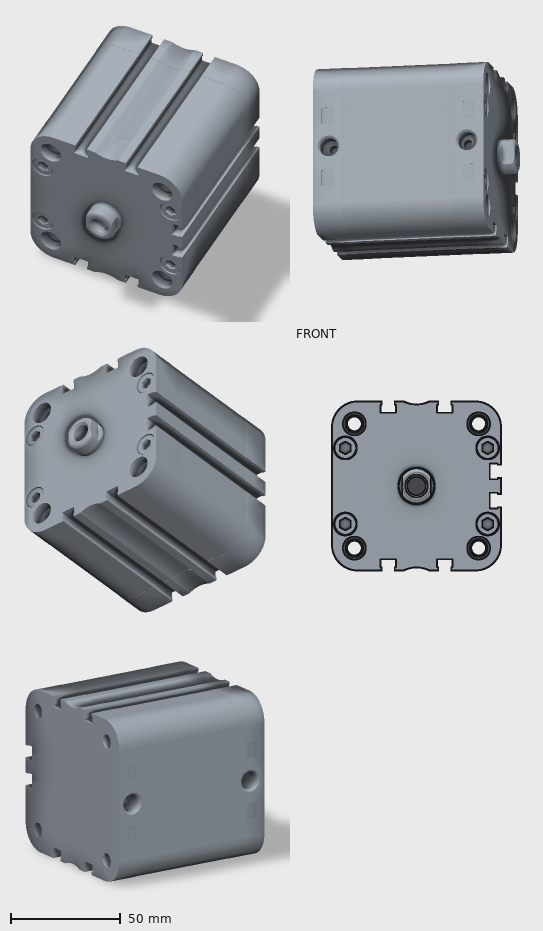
import cadquery as cq
import math


side = 77.0
half = side / 2
body_length = 79.2
corner_radius = 11.8

front_cover_length = 14.0
rear_cover_length = 13.6
barrel_inset = 0.1

slot_opening = 5.9
slot_width = 7.0
slot_depth = 5.1
slot_lip = 1.6
top_slot_offset = 12.85
side_slot_offset = 6.63

groove_width = 11.8
groove_depth = 1.4

mount_offset = 56.5 / 2
mount_bore_diameter = 10.5
mount_bore_depth = 5.0
mount_thread_diameter = 8.05
mount_hole_diameter = 6.65

screw_x = 32.35
screw_z = 17.3
screw_bore_diameter = 10.5
screw_bore_depth = 6.0
screw_head_diameter = 9.8
screw_head_sink = 0.5
socket_flats = 5.0
socket_depth = 3.0

port_front_y = 7.75
port_rear_y = body_length - 7.25
port_diameter = 8.57
port_mouth_diameter = 10.3
port_depth = 8.0
passage_diameter = 4.0
passage_length = 5.0
passage_shift = 0.95

label_front_y = 6.9
label_rear_y = body_length - 6.75
label_length = 5.25
label_height = 7.3
label_z = 14.5
label_depth = 0.2

rod_diameter = 16.0
rod_length = 7.8
rod_fillet = 1.8
rod_flats = 13.0
flat_gap = 2.4
rod_thread_mouth = 10.3
rod_thread_diameter = 8.38
rod_thread_depth = 20.0
rod_seal_diameter = 16.7
rod_seal_depth = 2.0


def cylinder(start, direction, diameter, length):
    """Round bar that starts at a point and runs along a direction."""
    return cq.Workplane(obj=cq.Solid.makeCylinder(
        diameter / 2, length, cq.Vector(*start), cq.Vector(*direction)))


def countersink(start, direction, mouth, diameter):
    """45 degree cone that narrows from the mouth to the hole diameter."""
    return cq.Workplane(obj=cq.Solid.makeCone(
        mouth / 2, diameter / 2, (mouth - diameter) / 2, cq.Vector(*start), cq.Vector(*direction)))


def box(x_range, y_range, z_range):
    """Box given by its extents along the three axes."""
    sizes = [high - low for low, high in (x_range, y_range, z_range)]
    corner = (x_range[0], y_range[0], z_range[0])
    return cq.Workplane(obj=cq.Solid.makeBox(*sizes, cq.Vector(*corner)))


def turned(shape, angle):
    """The shape turned about the cylinder axis."""
    return shape.rotate((0, 0, 0), (0, 1, 0), angle)


def rounded_block(half_side, radius, y_start, y_end):
    """Square block with rounded long edges and the round grooves in its top and bottom."""
    block = box((-half_side, half_side), (y_start, y_end), (-half_side, half_side))
    block = block.edges("|Y").fillet(radius)
    groove_radius = ((groove_width / 2) ** 2 + groove_depth ** 2) / (2 * groove_depth)
    groove_centre = (0, y_start, half_side - groove_depth + groove_radius)
    groove = cylinder(groove_centre, (0, 1, 0), 2 * groove_radius, y_end - y_start)
    return block.cut(groove).cut(turned(groove, 180))


def body_block():
    """Front cover, barrel and rear cover joined end to end."""
    barrel_start = front_cover_length
    barrel_end = body_length - rear_cover_length
    front_cover = rounded_block(half, corner_radius, 0, barrel_start)
    barrel = rounded_block(half - barrel_inset, corner_radius - barrel_inset, barrel_start, barrel_end)
    rear_cover = rounded_block(half, corner_radius, barrel_end, body_length)
    return front_cover.union(barrel).union(rear_cover)


def top_slot(x):
    """T-slot open at the top of the body, centred at x."""
    neck = box((x - slot_opening / 2, x + slot_opening / 2), (0, body_length), (half - slot_depth, half))
    chamber = box(
        (x - slot_width / 2, x + slot_width / 2), (0, body_length), (half - slot_depth, half - slot_lip))
    return neck.union(chamber)


def cut_slots(body):
    """Pairs of T-slots in the top, bottom and right side."""
    for angle in (0, 180):
        for x in (-top_slot_offset, top_slot_offset):
            body = body.cut(turned(top_slot(x), angle))
    for z in (-side_slot_offset, side_slot_offset):
        body = body.cut(turned(top_slot(z), 90))
    return body


def cut_mounting_holes(body):
    """Through holes in the corners with a counterbore and a countersunk thread."""
    for x in (-mount_offset, mount_offset):
        for z in (-mount_offset, mount_offset):
            bore_floor = (x, mount_bore_depth, z)
            body = body.cut(cylinder((x, 0, z), (0, 1, 0), mount_bore_diameter, mount_bore_depth))
            body = body.cut(countersink(bore_floor, (0, 1, 0), mount_thread_diameter, mount_hole_diameter))
            body = body.cut(cylinder((x, 0, z), (0, 1, 0), mount_hole_diameter, body_length))
    return body


def cut_screws(body):
    """Ring gap, sunk head and hexagon socket of each cover screw."""
    hexagon_diameter = socket_flats / math.cos(math.pi / 6)
    for x in (-screw_x, screw_x):
        for z in (-screw_z, screw_z):
            bore = cylinder((x, 0, z), (0, 1, 0), screw_bore_diameter, screw_bore_depth)
            head = cylinder((x, screw_head_sink, z), (0, 1, 0), screw_head_diameter, screw_bore_depth)
            socket = (
                cq.Workplane("XZ", origin=(x, screw_head_sink, z))
                .transformed(rotate=(0, 0, 90))
                .polygon(6, hexagon_diameter)
                .extrude(-socket_depth)
            )
            body = body.cut(bore.cut(head)).cut(socket)
    return body


def cut_port(body, y, passage_y):
    """Threaded port in the left side with a small air passage in its floor."""
    mouth = (-half, y, 0)
    body = body.cut(cylinder(mouth, (1, 0, 0), port_diameter, port_depth))
    body = body.cut(countersink(mouth, (1, 0, 0), port_mouth_diameter, port_diameter))
    floor = (-half + port_depth, passage_y, 0)
    return body.cut(cylinder(floor, (1, 0, 0), passage_diameter, passage_length))


def cut_labels(body):
    """Shallow rectangular recesses in the left side."""
    for y in (label_front_y, label_rear_y):
        for z in (-label_z, label_z):
            body = body.cut(box(
                (-half, -half + label_depth),
                (y - label_length / 2, y + label_length / 2),
                (z - label_height / 2, z + label_height / 2)))
    return body


def add_rod(body):
    """Rod end with two wrench flats and a threaded hole, in a narrow seal gap."""
    rod_radius = rod_diameter / 2
    flat = rod_flats / 2
    flat_start = -flat_gap
    ramp_end = flat_start + rod_radius - flat
    seal_gap = cylinder((0, 0, 0), (0, 1, 0), rod_seal_diameter, rod_seal_depth)
    rod = cylinder((0, rod_seal_depth, 0), (0, -1, 0), rod_diameter, rod_length + rod_seal_depth)
    rod = rod.faces("<Y").edges().fillet(rod_fillet)
    flat_cutter = (
        cq.Workplane("XY", origin=(0, 0, -rod_radius))
        .moveTo(flat, -rod_length)
        .lineTo(flat, flat_start)
        .lineTo(rod_radius, ramp_end)
        .lineTo(rod_radius, -rod_length)
        .close()
        .extrude(rod_diameter)
    )
    rod = rod.cut(flat_cutter).cut(turned(flat_cutter, 180))
    tip = (0, -rod_length, 0)
    body = body.cut(seal_gap).union(rod)
    body = body.cut(cylinder(tip, (0, 1, 0), rod_thread_diameter, rod_thread_depth))
    return body.cut(countersink(tip, (0, 1, 0), rod_thread_mouth, rod_thread_diameter))


result = cut_slots(body_block())
result = cut_mounting_holes(result)
result = cut_screws(result)
result = cut_port(result, port_front_y, port_front_y + passage_shift)
result = cut_port(result, port_rear_y, port_rear_y - passage_shift)
result = cut_labels(result)
result = add_rod(result)